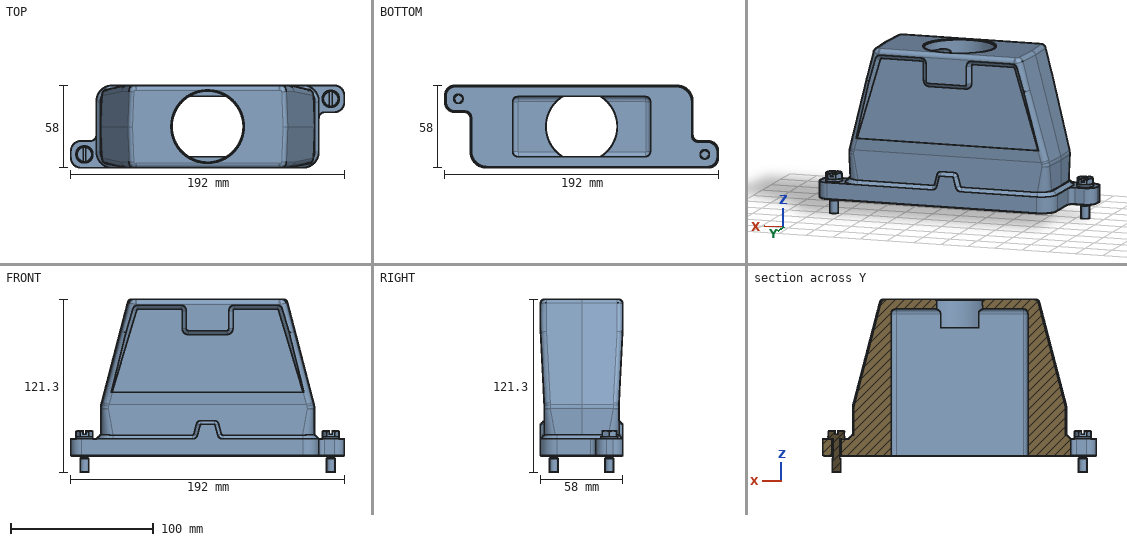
import cadquery as cq
import math


FLANGE_HALF_LENGTH = 78.1
HALF_WIDTH = 29.0
FLANGE_CORNER_R = 11.5
EAR_TOP = 12.0
FLANGE_SLOPE = 2.9
FLANGE_TOP = EAR_TOP + FLANGE_SLOPE
UNDERSIDE_CHAMFER_HEIGHT = 1.0
UNDERSIDE_CHAMFER_INSET = 0.5

EAR_REACH = 96.0
EAR_WIDTH = 19.0
EAR_CORNER_R = 7.3
EAR_ROOT_R = 3.8
SCREW_X = 86.4
SCREW_Y = HALF_WIDTH - EAR_WIDTH / 2
SCREW_PLACES = [(-SCREW_X, -SCREW_Y), (SCREW_X, SCREW_Y)]
SCREW_HOLE_D = 6.5

HOOD_TOP = 110.2
HOOD_HALF_LENGTH = 75.0
HOOD_TOP_HALF_LENGTH = 55.5
END_RIDGE_DROP = 1.2
END_KINK_Z = 35.0
END_KINK_R = 10.8
HOOD_LOWER_HALF_WIDTH = 26.3
SIDE_KINK_Z = 36.5
SIDE_STRAIGHT_Z = 86.4
TOP_EDGE_R = 3.5
CORNER_R = 4.5
CORNER_FOOT_R = 8.5
CORNER_SPLIT_Z = 33.5

PANEL_BOTTOM_Z = 44.7
PANEL_TOP_Z = 103.1
PANEL_BOTTOM_HALF = 67.0
PANEL_TOP_HALF = 49.5
PANEL_DEPTH = 2.9
PANEL_CORNER_R = 1.0
PAD_HALF = 17.9
PAD_BOTTOM_Z = 85.2
PAD_CORNER_R = 4.5

LUG_TOP_Z = 25.2
LUG_TOP_HALF = 7.3
LUG_FOOT_HALF = 10.0
LUG_CORNER_R = 3.3
LUG_FOOT_R = 1.0
LUG_STRIP_HALF = 23.0
LUG_STRIP_BOTTOM_Z = 5.8

CAVITY_HALF_LENGTH = 48.4
CAVITY_HALF_WIDTH = 21.1
CAVITY_CORNER_R = 3.8
CAVITY_TOP = 103.5
CAVITY_TOP_R = 3.5
ENTRY_D = 50.0
ENTRY_BOTTOM = 90.2
ENTRY_CHAMFER = 0.8

SCREW_BOTTOM = -11.1
SHANK_D = 6.1
NECK_D = 5.0
NECK_BOTTOM = -1.2
SHANK_TOP = -2.0
COLLAR_D = 12.0
COLLAR_HEIGHT = 1.7
HEAD_CORNER_D = 12.0
HEAD_TOP = 17.9
HEAD_CHAMFER = 0.8
SLOT_WIDTH = 2.0
SLOT_DEPTH = 2.3

SNAP = 0.02


def both_ways(shape):
    """The shape together with its half-turn copy about Z."""
    return shape.union(shape.rotate((0, 0, 0), (0, 0, 1), 180))


def above(z):
    """Block reaching from height z to past the top of everything."""
    return cq.Workplane("XY").workplane(offset=z).rect(2 * EAR_REACH, 2 * EAR_REACH).extrude(HOOD_TOP)


def ridged_outline(ridge_x, half_width, z):
    """Plan outline whose two ends come to a shallow ridge on the centre plane."""
    corner_x = ridge_x - END_RIDGE_DROP * half_width / HALF_WIDTH
    points = [
        (ridge_x, 0),
        (corner_x, half_width),
        (-corner_x, half_width),
        (-ridge_x, 0),
        (-corner_x, -half_width),
        (corner_x, -half_width),
    ]
    return cq.Workplane("XY").workplane(offset=z).polyline(points).close()


def make_flange():
    main = (
        cq.Workplane("XY")
        .rect(2 * FLANGE_HALF_LENGTH, 2 * HALF_WIDTH)
        .extrude(FLANGE_TOP)
        .edges("|Z")
        .fillet(FLANGE_CORNER_R)
        .faces(">Z")
        .chamfer(FLANGE_SLOPE)
    )
    ear = (
        cq.Workplane("XY")
        .moveTo(-EAR_REACH, -HALF_WIDTH)
        .rect(EAR_REACH, EAR_WIDTH, centered=False)
        .extrude(EAR_TOP)
        .edges("|Z and <X")
        .fillet(EAR_CORNER_R)
    )
    root = (
        cq.Workplane("XY")
        .moveTo(-FLANGE_HALF_LENGTH - EAR_ROOT_R, EAR_WIDTH - HALF_WIDTH)
        .radiusArc((-FLANGE_HALF_LENGTH, EAR_WIDTH - HALF_WIDTH + EAR_ROOT_R), -EAR_ROOT_R)
        .lineTo(-FLANGE_HALF_LENGTH, EAR_WIDTH - HALF_WIDTH)
        .close()
        .extrude(EAR_TOP)
    )
    flange = main.union(both_ways(ear.union(root)))
    return flange.faces("<Z").chamfer(UNDERSIDE_CHAMFER_HEIGHT, UNDERSIDE_CHAMFER_INSET)


def make_hood_lower():
    """Straight lower hood; its corner radius grows toward the foot."""
    def section(radius, z):
        sharp = ridged_outline(HOOD_HALF_LENGTH, HOOD_LOWER_HALF_WIDTH, z).wire().val()
        corners = [v for v in sharp.Vertices() if abs(v.Y) > HOOD_LOWER_HALF_WIDTH / 2]
        return sharp.fillet2D(radius, corners)

    foot = section(CORNER_FOOT_R, EAR_TOP)
    shoulder = section(CORNER_R, CORNER_SPLIT_Z)
    return cq.Workplane(obj=cq.Solid.makeLoft([foot, shoulder], True))


def make_hood_upper():
    """Hood above the corner split: leaning ends and sides, rounded edges."""
    straight = ridged_outline(HOOD_HALF_LENGTH, HALF_WIDTH, EAR_TOP).extrude(END_KINK_Z - EAR_TOP)
    kink = ridged_outline(HOOD_HALF_LENGTH, HALF_WIDTH, END_KINK_Z).wire().val()
    top = ridged_outline(HOOD_TOP_HALF_LENGTH, HALF_WIDTH, HOOD_TOP).wire().val()
    leaning = cq.Workplane(obj=cq.Solid.makeLoft([kink, top], True))
    ends = straight.union(leaning)
    kink_edges = [
        edge
        for edge in ends.edges().vals()
        if abs(edge.Center().z - END_KINK_Z) < SNAP and abs(edge.Center().y) < HALF_WIDTH - SNAP
    ]
    ends = ends.newObject(kink_edges).fillet(END_KINK_R)

    side_profile = [
        (HOOD_LOWER_HALF_WIDTH, EAR_TOP),
        (HOOD_LOWER_HALF_WIDTH, SIDE_KINK_Z),
        (HALF_WIDTH, SIDE_STRAIGHT_Z),
        (HALF_WIDTH, HOOD_TOP),
    ]
    mirrored = [(-y, z) for y, z in reversed(side_profile)]
    sides = cq.Workplane("YZ").polyline(side_profile + mirrored).close().extrude(EAR_REACH, both=True)

    hood = ends.intersect(sides)
    corner_edges = [
        edge
        for edge in hood.edges().vals()
        if abs(edge.Center().x) > SNAP and abs(edge.Center().y) > HOOD_LOWER_HALF_WIDTH - SNAP
    ]
    hood = hood.newObject(corner_edges).fillet(CORNER_R)
    hood = hood.faces(">Z").edges().fillet(TOP_EDGE_R)
    return hood.intersect(above(CORNER_SPLIT_Z))


def extrude_rounded(half, depth, taper):
    """Extrude out to the -Y side face an outline mirrored about X = 0, given as (x, z, corner radius)."""
    corners = half + [(-x, z, radius) for x, z, radius in reversed(half)]
    outline = cq.Workplane("XZ").workplane(offset=HALF_WIDTH - depth)
    wire = outline.polyline([(x, z) for x, z, _ in corners]).close().val()
    for radius in sorted({radius for _, _, radius in corners if radius > 0}):
        spots = [(x, z) for x, z, corner_radius in corners if corner_radius == radius]
        rounded = [v for v in wire.Vertices() if any(math.dist((v.X, v.Z), spot) < SNAP for spot in spots)]
        wire = wire.fillet2D(radius, rounded)
    return cq.Workplane(obj=cq.Solid.extrudeLinear(wire, [], cq.Vector(0, -depth, 0), taper))


def make_panel_recess():
    """Tool for the sunken panel on the -Y side, its walls flaring outward round the top pad."""
    slope = (PANEL_BOTTOM_HALF - PANEL_TOP_HALF) / (PANEL_TOP_Z - PANEL_BOTTOM_Z)
    cut_bottom_z = PANEL_BOTTOM_Z - 2 * PANEL_DEPTH
    cut_bottom_half = PANEL_TOP_HALF + slope * (PANEL_TOP_Z - cut_bottom_z)
    half = [
        (PAD_HALF, PAD_BOTTOM_Z, PAD_CORNER_R),
        (PAD_HALF, PANEL_TOP_Z, PANEL_CORNER_R),
        (PANEL_TOP_HALF, PANEL_TOP_Z, PANEL_CORNER_R),
        (cut_bottom_half, cut_bottom_z, 0),
    ]
    flared = extrude_rounded(half, PANEL_DEPTH, -45)
    return flared.intersect(above(PANEL_BOTTOM_Z))


def make_lug():
    """Lug on the -Y side with 45 degree edges, on a strip that blends into the flange slope."""
    half = [
        (LUG_TOP_HALF, LUG_TOP_Z, LUG_CORNER_R),
        (LUG_FOOT_HALF, FLANGE_TOP, LUG_FOOT_R),
        (LUG_STRIP_HALF, FLANGE_TOP, 0),
        (LUG_STRIP_HALF, LUG_STRIP_BOTTOM_Z, 0),
    ]
    return extrude_rounded(half, FLANGE_SLOPE, 45)


def make_cavity():
    return (
        cq.Workplane("XY")
        .rect(2 * CAVITY_HALF_LENGTH, 2 * CAVITY_HALF_WIDTH)
        .extrude(CAVITY_TOP)
        .edges("|Z")
        .fillet(CAVITY_CORNER_R)
        .faces(">Z")
        .edges()
        .fillet(CAVITY_TOP_R)
    )


def make_cable_entry():
    radius = ENTRY_D / 2
    bore = cq.Workplane("XY").workplane(offset=ENTRY_BOTTOM).circle(radius).extrude(HOOD_TOP - ENTRY_BOTTOM)
    mouth_base = cq.Vector(0, 0, HOOD_TOP - ENTRY_CHAMFER)
    mouth = cq.Solid.makeCone(radius, radius + ENTRY_CHAMFER, ENTRY_CHAMFER, mouth_base)
    return bore.union(cq.Workplane(obj=mouth))


def make_housing():
    hood = make_hood_upper().cut(both_ways(make_panel_recess()))
    housing = make_flange().union(make_hood_lower()).union(hood).union(both_ways(make_lug()))
    housing = housing.cut(make_cavity()).cut(make_cable_entry())
    screw_holes = cq.Workplane("XY").pushPoints(SCREW_PLACES).circle(SCREW_HOLE_D / 2).extrude(EAR_TOP)
    return housing.cut(screw_holes)


def make_screw():
    """Slotted hexagon screw on the Z axis, its collar resting on the ear."""
    turned_profile = [
        (0, SCREW_BOTTOM),
        (SHANK_D / 2, SCREW_BOTTOM),
        (SHANK_D / 2, SHANK_TOP),
        (NECK_D / 2, NECK_BOTTOM),
        (NECK_D / 2, EAR_TOP),
        (COLLAR_D / 2, EAR_TOP),
        (COLLAR_D / 2, EAR_TOP + COLLAR_HEIGHT),
        (0, EAR_TOP + COLLAR_HEIGHT),
    ]
    shank = cq.Workplane("XZ").polyline(turned_profile).close().revolve(360, (0, 0), (0, 1))
    head_height = HEAD_TOP - EAR_TOP - COLLAR_HEIGHT
    head_base = cq.Workplane("XY").workplane(offset=EAR_TOP + COLLAR_HEIGHT)
    head = head_base.polygon(6, HEAD_CORNER_D).extrude(head_height)
    head_limit = head_base.circle(HEAD_CORNER_D / 2).extrude(head_height).faces(">Z").chamfer(HEAD_CHAMFER)
    slot = (
        cq.Workplane("XY")
        .workplane(offset=HEAD_TOP - SLOT_DEPTH)
        .rect(SLOT_WIDTH, 2 * COLLAR_D)
        .extrude(SLOT_DEPTH)
    )
    return shank.union(head.intersect(head_limit)).cut(slot)


housing = make_housing()
screws = [make_screw().translate((x, y, 0)) for x, y in SCREW_PLACES]
result = cq.Compound.makeCompound([housing.val(), *[screw.val() for screw in screws]])